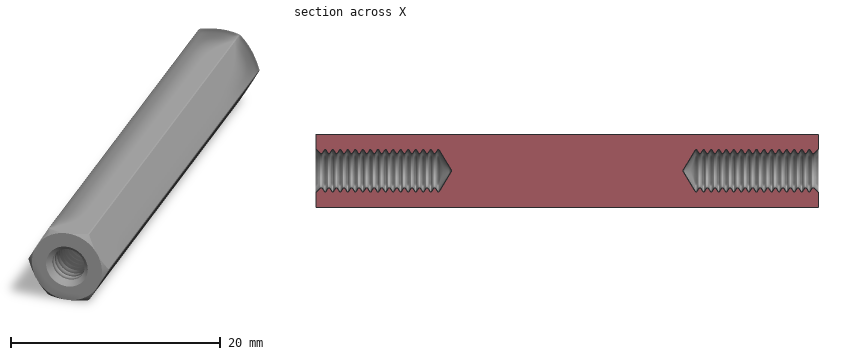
import cadquery as cq
import math

length = 48.0
across_flats = 7.0
edge_setback = 0.07
across_corners = across_flats / math.cos(math.radians(30))

end_face_diameter = across_flats
end_chamfer_angle = 45.0

mouth_diameter = 4.2
lead_in_angle = 45.0
thread_diameter = 4.0
bore_diameter = 3.25
thread_pitch = 0.7
thread_turns = 16
root_flat = thread_pitch / 8
crest_flat = thread_pitch / 4
drill_point_angle = 118.0


def revolve_about_y(points):
    """Turn a closed (radius, y) profile about the Y axis."""
    return cq.Workplane("XY").polyline(points).close().revolve(360, (0, 0), (0, 1))


def make_bar():
    """Hexagonal bar with two flats facing up and down."""
    bar = cq.Workplane("XZ").polygon(6, across_corners).extrude(length / 2, both=True)
    return bar.edges("|Y").chamfer(edge_setback)


def make_end_envelope():
    """Round bar with coned ends; what lies outside it is trimmed from the hexagon."""
    outer_radius = across_corners / 2
    face_radius = end_face_diameter / 2
    cone_length = (outer_radius - face_radius) * math.tan(math.radians(end_chamfer_angle))
    half_length = length / 2
    return revolve_about_y([
        (0, -half_length),
        (face_radius, -half_length),
        (outer_radius, cone_length - half_length),
        (outer_radius, half_length - cone_length),
        (face_radius, half_length),
        (0, half_length),
    ])


def make_threaded_hole():
    """Hole at the -Y end; the thread is a row of ring grooves behind a lead-in cone."""
    root_radius = thread_diameter / 2
    bore_radius = bore_diameter / 2
    flank_length = (thread_pitch - root_flat - crest_flat) / 2
    mouth = -length / 2
    mouth_radius = mouth_diameter / 2
    lead_in_length = (mouth_radius - bore_radius) / math.tan(math.radians(lead_in_angle))
    thread_start = mouth + lead_in_length
    points = [(0, mouth), (mouth_radius, mouth)]
    for turn in range(thread_turns):
        crest_start = thread_start + turn * thread_pitch
        crest_end = crest_start + crest_flat
        groove_start = crest_end + flank_length
        points.append((bore_radius, crest_start))
        points.append((bore_radius, crest_end))
        points.append((root_radius, groove_start))
        points.append((root_radius, groove_start + root_flat))
    bore_end = thread_start + thread_turns * thread_pitch
    points.append((bore_radius, bore_end))
    point_length = bore_radius / math.tan(math.radians(drill_point_angle / 2))
    points.append((0, bore_end + point_length))
    return revolve_about_y(points)


hole = make_threaded_hole()
result = make_bar().intersect(make_end_envelope())
result = result.cut(hole).cut(hole.mirror("XZ"))